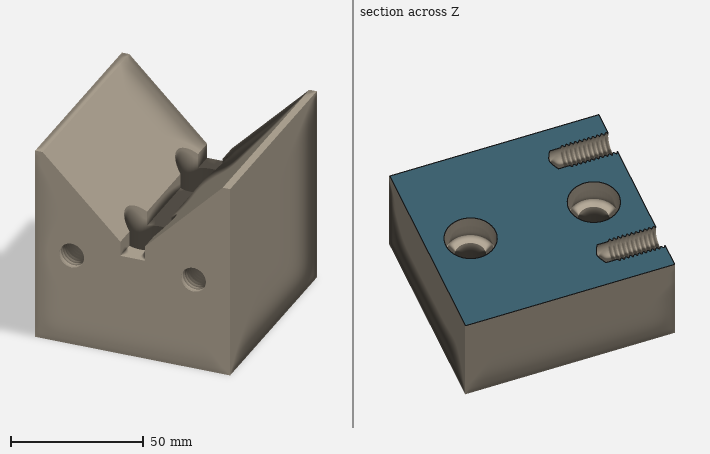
import cadquery as cq
import math

length = 85.0
width = 80.0
height = 80.0

land_width = 3.1
slot_width = 10.0
slot_depth = 6.0
vee_half = width / 2 - land_width
slot_half = slot_width / 2
vee_depth = vee_half - slot_half
vee_root = height - vee_depth
slot_floor = vee_root - slot_depth

bolt_spacing = 50.0
bolt_diameter = 12.0
counterbore_diameter = 20.0
counterbore_depth = 12.0

tap_spacing = 50.0
tap_height = 38.0
core_diameter = 10.1
core_depth = 24.0
tip_angle = 118.0
thread_pitch = 1.8
thread_depth = 0.9
thread_crest = thread_pitch / 8
thread_count = 11


def block_with_vee():
    """Profile in XZ, with the vee and slot open at the top, extruded along Y."""
    profile = [
        (-width / 2, 0),
        (width / 2, 0),
        (width / 2, height),
        (vee_half, height),
        (slot_half, vee_root),
        (slot_half, slot_floor),
        (-slot_half, slot_floor),
        (-slot_half, vee_root),
        (-vee_half, height),
        (-width / 2, height),
    ]
    return cq.Workplane("XZ").polyline(profile).close().extrude(length / 2, both=True)


def bolt_hole(y):
    """Through hole with a counterbore that also clears the vee flanks above it."""
    shank = cq.Workplane("XY").center(0, y).circle(bolt_diameter / 2).extrude(height)
    seat = slot_floor - counterbore_depth
    head = (
        cq.Workplane("XY", origin=(0, y, seat))
        .circle(counterbore_diameter / 2)
        .extrude(height - seat)
    )
    return shank.union(head)


def tapped_hole(x):
    """Drilled hole with a conical tip and ring-shaped V thread grooves, along +Y."""
    core_radius = core_diameter / 2
    front = -length / 2
    tip_length = core_radius / math.tan(math.radians(tip_angle / 2))
    outline = [(0, front), (core_radius, front)]
    for turn in range(thread_count):
        start = front + turn * thread_pitch
        outline += [
            (core_radius, start + thread_crest),
            (core_radius + thread_depth, start + thread_pitch / 2),
            (core_radius, start + thread_pitch - thread_crest),
        ]
    outline += [
        (core_radius, front + core_depth),
        (0, front + core_depth + tip_length),
    ]
    cutter = cq.Workplane("XY").polyline(outline).close().revolve(360, (0, 0), (0, 1))
    return cutter.translate((x, 0, tap_height))


result = block_with_vee()
for side in (-1, 1):
    result = result.cut(bolt_hole(side * bolt_spacing / 2))
    result = result.cut(tapped_hole(side * tap_spacing / 2))